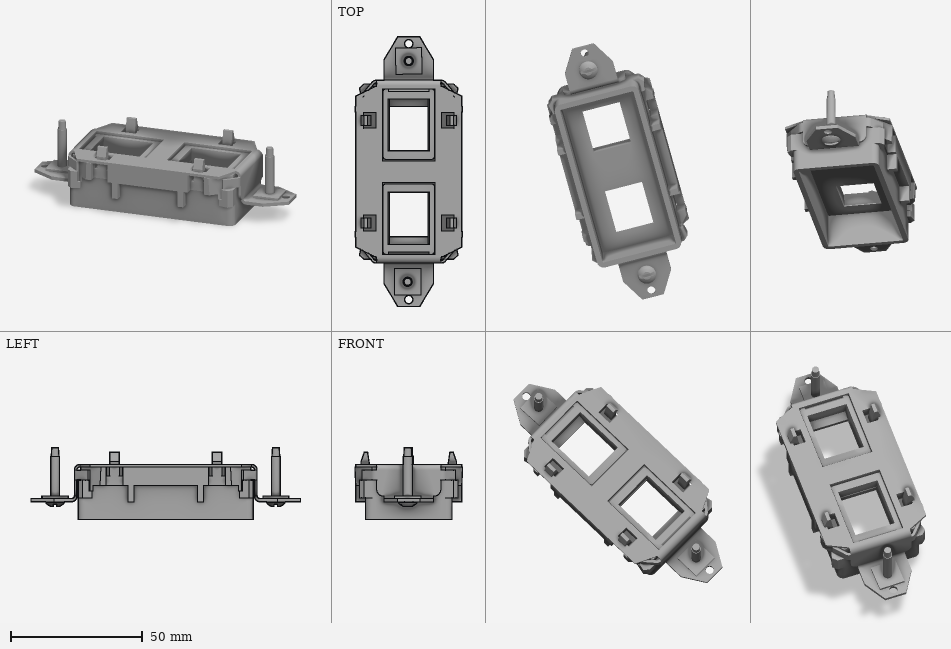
import cadquery as cq
import math


overall_length = 102.3
plate_top = 21.0
plate_thickness = 1.0
housing_top = plate_top - plate_thickness
half_length = overall_length / 2

plate_half_width = 20.2
plate_corner_y = 28.6
wall_outer_y = 34.7
wall_inner_y = wall_outer_y - plate_thickness
wall_half_width = 12.2
wall_bottom = 8.9
wall_corner_radius = 2.7
top_bend_radius = 2.1
bend_start_y = wall_outer_y - top_bend_radius
ear_bottom = 6.8
ear_thickness = 1.3
ear_top = ear_bottom + ear_thickness
ear_half_width = 9.4
ear_tip_half_width = 4.2
ear_taper_y = 42.5
ear_bend_radius = 0.9
ear_hole_y = 48.5
ear_hole_diameter = 3.1
wing_start_x = 13.3
wing_fold_radius = 2.1
wing_length = 6.9
wing_angle = 50.0
wing_bottom = 15.1
wing_top = 18.8
wing_tail_length = 1.2
wing_tail_bottom = 10.8

window_half_width = 10.0
window_inner_y = 4.1
window_outer_y = 31.3
side_groove_width = 0.3
inner_groove_width = 0.6
groove_depth = 1.0
boss_corner_radius = 0.9
boss_ramp_length = 0.9
boss_ramp_width = 15.3
opening_half_width = 7.9
throat_half_width = 7.3
throat_bottom = 13.2
opening_inner_y = 7.8
throat_inner_y = 8.0
inner_lip_z = 15.3
opening_outer_y = 27.6
throat_outer_y = 24.7
ramp_top = 14.7
ramp_bottom = 13.5

base_half_width = 16.5
base_half_length = 33.3
base_corner_radius = 2.6
shell_thickness = 2.0
cavity_corner_radius = 0.5
block_half_width = 20.2
block_half_length = 32.2
block_bottom = 13.0
pillar_inner_y = 27.5
post_bottom = 8.3
post_top = 15.0
post_front_x = 17.0
post_side_x = 18.7
post_side_y = 31.6
post_back_x = 17.9
post_back_y = 27.9
notch_outer_y = 29.1
nub_reach = 20.5
nub_inner_y = 22.4
leg_width = 2.3
leg_y = 13.2
leg_bottom = 6.8

latch_y = 19.4
slot_outer_x = 17.1
slot_inner_x = 12.4
slot_width = 5.9
latch_recess_width = 6.5
latch_pocket_floor = 16.6
latch_width = 3.7
latch_tip_z = 25.6
latch_tip_outer_x = 16.9
latch_tip_inner_x = 15.5
latch_foot_inner_x = 14.2
hook_outer_x = 18.1
hook_edge_z = 22.1

retainer_size = 9.9
retainer_thickness = 0.9
shank_diameter = 3.5
shank_top = 24.0
screw_tip_z = 27.3
point_base_diameter = 3.1
point_tip_diameter = 2.7
head_diameter = 7.1
head_flat_diameter = 3.1
head_height = 1.8
head_dome_radius = 4.6
head_rim_height = 0.3
driver_slot_width = 1.2
driver_slot_depth = 0.9
mountings = [(0.0, 41.9, 1.3), (-0.4, -41.7, 0.0)]


def box(x0, x1, y0, y1, z0, z1):
    """Box between two values on each axis, given in any order."""
    size = (abs(x1 - x0), abs(y1 - y0), abs(z1 - z0))
    center = ((x0 + x1) / 2, (y0 + y1) / 2, (z0 + z1) / 2)
    return cq.Workplane("XY").box(*size).translate(center)


def prism(points, z0, z1):
    """Upright prism on an XY outline."""
    return cq.Workplane("XY").workplane(offset=z0).polyline(points).close().extrude(z1 - z0)


def cylinder(x, y, diameter, z0, z1):
    """Upright cylinder on a point in plan."""
    return cq.Workplane("XY").workplane(offset=z0).center(x, y).circle(diameter / 2).extrude(z1 - z0)


def four_corners(points):
    """Outline mirrored into all four quadrants, from its first-quadrant points in order of rising Y."""
    right = [(x, -y) for x, y in reversed(points)] + points
    return right + [(-x, y) for x, y in reversed(right)]


def at_both_ends(shape):
    """The +Y shape and its mirror image at -Y."""
    return [shape, shape.mirror("XZ")]


def at_four_corners(shape):
    """The +X, +Y shape and its three mirror images."""
    return [copy for end in at_both_ends(shape) for copy in (end, end.mirror("YZ"))]


def add_all(body, parts):
    """The body with every part joined to it."""
    for part in parts:
        body = body.union(part)
    return body


def cut_all(body, parts):
    """The body with every part cut from it."""
    for part in parts:
        body = body.cut(part)
    return body


wing_dx = math.cos(math.radians(wing_angle))
wing_dy = -math.sin(math.radians(wing_angle))
wing_inner_start_x = wing_start_x - plate_thickness * math.tan(math.radians(wing_angle / 2))


def wing_points(distance):
    """Outer and inner points of the wing at a distance from its fold."""
    outer_x = wing_start_x + distance * wing_dx
    outer_y = wall_outer_y + distance * wing_dy
    return (outer_x, outer_y), (outer_x + plate_thickness * wing_dy, outer_y - plate_thickness * wing_dx)


def strap_wing():
    outer_end, inner_end = wing_points(wing_length)
    wing = prism(
        [
            (0, wall_inner_y),
            (0, wall_outer_y),
            (wing_start_x, wall_outer_y),
            outer_end,
            inner_end,
            (wing_inner_start_x, wall_inner_y),
        ],
        wing_bottom,
        wing_top,
    )
    outer_fold = cq.selectors.NearestToPointSelector((wing_start_x, wall_outer_y, wing_top))
    inner_fold = cq.selectors.NearestToPointSelector((wing_inner_start_x, wall_inner_y, wing_top))
    wing = wing.edges("|Z").edges(outer_fold).fillet(wing_fold_radius)
    wing = wing.edges("|Z").edges(inner_fold).fillet(wing_fold_radius - plate_thickness)
    tail_outer, tail_inner = wing_points(wing_length - wing_tail_length)
    tail = prism([tail_outer, outer_end, inner_end, tail_inner], wing_tail_bottom, wing_top)
    return wing.union(tail)


def strap_end():
    """Top bend, end wall, lower bend and ear at the +Y end."""
    inner_bend = top_bend_radius - plate_thickness
    outer_bend_length = ear_bend_radius + plate_thickness
    outer_bend_height = ear_bend_radius + ear_thickness
    ear_bend_y = wall_outer_y + ear_bend_radius
    ear_bend_z = ear_top + ear_bend_radius
    cos45 = math.sqrt(0.5)
    bend_z = plate_top - top_bend_radius
    profile = (
        cq.Workplane("YZ")
        .moveTo(bend_start_y, plate_top)
        .threePointArc(
            (bend_start_y + top_bend_radius * cos45, bend_z + top_bend_radius * cos45),
            (wall_outer_y, bend_z),
        )
        .lineTo(wall_outer_y, ear_bend_z)
        .threePointArc(
            (ear_bend_y - ear_bend_radius * cos45, ear_bend_z - ear_bend_radius * cos45),
            (ear_bend_y, ear_top),
        )
        .lineTo(half_length, ear_top)
        .lineTo(half_length, ear_bottom)
        .lineTo(ear_bend_y, ear_bottom)
        .threePointArc(
            (ear_bend_y - outer_bend_length * cos45, ear_bend_z - outer_bend_height * cos45),
            (wall_inner_y, ear_bend_z),
        )
        .lineTo(wall_inner_y, bend_z)
        .threePointArc(
            (bend_start_y + inner_bend * cos45, bend_z + inner_bend * cos45),
            (bend_start_y, housing_top),
        )
        .close()
        .extrude(wall_half_width, both=True)
    )
    wall_front = box(
        -wall_half_width, wall_half_width, bend_start_y, ear_taper_y, wall_bottom, plate_top
    ).edges("|Y and <Z").fillet(wall_corner_radius)
    ear_outline = prism(
        [
            (-ear_half_width, bend_start_y),
            (-ear_half_width, ear_taper_y),
            (-ear_tip_half_width, half_length),
            (ear_tip_half_width, half_length),
            (ear_half_width, ear_taper_y),
            (ear_half_width, bend_start_y),
        ],
        ear_bottom,
        plate_top,
    )
    hole = cylinder(0, ear_hole_y, ear_hole_diameter, ear_bottom, ear_top)
    return profile.intersect(wall_front.union(ear_outline)).cut(hole)


def make_strap():
    outline = four_corners([(plate_half_width, plate_corner_y), (wall_half_width, bend_start_y)])
    strap = prism(outline, housing_top, plate_top)
    strap = add_all(strap, at_both_ends(strap_end()))
    strap = add_all(strap, at_four_corners(strap_wing()))
    window = box(
        -window_half_width, window_half_width, window_inner_y, window_outer_y, housing_top, plate_top
    )
    latch_slot = box(
        slot_inner_x,
        slot_outer_x,
        latch_y - slot_width / 2,
        latch_y + slot_width / 2,
        housing_top,
        plate_top,
    )
    strap = cut_all(strap, at_both_ends(window) + at_four_corners(latch_slot))
    for x, y, _ in mountings:
        strap = strap.cut(cylinder(x, y, shank_diameter, ear_bottom, ear_top))
    return strap


def chamfer_y(x):
    """Y of the block's corner chamfer, which lies flat against the inside of the wing."""
    return wall_inner_y + (x - wing_inner_start_x) * wing_dy / wing_dx


def chamfer_x(y):
    """X of the same chamfer at a given Y."""
    return wing_inner_start_x + (y - wall_inner_y) * wing_dx / wing_dy


def block_outline(half_width):
    """Rectangle with all four corners chamfered parallel to the wings."""
    return four_corners(
        [
            (half_width, chamfer_y(half_width)),
            (chamfer_x(block_half_length), block_half_length),
        ]
    )


def corner_post():
    """Post under the wing, with a low step at its back for the wing's tail."""
    post = prism(
        [
            (0, base_half_length),
            (post_front_x, base_half_length),
            (post_side_x, post_side_y),
            (post_back_x, post_back_y),
            (0, post_back_y),
        ],
        post_bottom,
        post_top,
    )
    step = box(0, post_side_x, post_back_y, notch_outer_y, wing_tail_bottom, post_top)
    pillar = prism(block_outline(block_half_width), wing_tail_bottom, block_bottom).intersect(
        box(0, block_half_width, pillar_inner_y, block_half_length, wing_tail_bottom, block_bottom)
    )
    return post.cut(step).union(pillar)


def side_nub():
    """Pad beside the latch recess that leans out toward the top."""
    return (
        cq.Workplane("XZ", origin=(0, nub_inner_y, 0))
        .polyline(
            [
                (slot_outer_x, block_bottom),
                (block_half_width, block_bottom),
                (nub_reach, housing_top),
                (slot_outer_x, housing_top),
            ]
        )
        .close()
        .extrude(nub_inner_y - chamfer_y(block_half_width))
        .intersect(prism(block_outline(nub_reach), block_bottom, housing_top))
    )


def latch():
    """Arm standing in the pocket, hooked outward over the strap."""
    return (
        cq.Workplane("XZ", origin=(0, latch_y + latch_width / 2, 0))
        .polyline(
            [
                (slot_outer_x, latch_pocket_floor),
                (slot_outer_x, plate_top),
                (hook_outer_x, plate_top),
                (hook_outer_x, hook_edge_z),
                (latch_tip_outer_x, latch_tip_z),
                (latch_tip_inner_x, latch_tip_z),
                (latch_foot_inner_x, latch_pocket_floor),
            ]
        )
        .close()
        .extrude(latch_width)
    )


def latch_recess():
    """Outside recess down the side wall, open at the bottom, plus the pocket around the arm."""
    recess = box(
        slot_outer_x,
        nub_reach,
        latch_y - latch_recess_width / 2,
        latch_y + latch_recess_width / 2,
        block_bottom,
        housing_top,
    )
    pocket = box(
        slot_inner_x,
        slot_outer_x,
        latch_y - slot_width / 2,
        latch_y + slot_width / 2,
        latch_pocket_floor,
        housing_top,
    )
    return recess.union(pocket)


def boss_groove():
    """Groove on the sides and inner end of the window, around a boss with rounded inner corners."""
    boss_half_width = window_half_width - side_groove_width
    floor = housing_top - groove_depth
    around = box(-window_half_width, window_half_width, window_inner_y, window_outer_y, floor, housing_top)
    boss = box(
        -boss_half_width,
        boss_half_width,
        window_inner_y + inner_groove_width,
        window_outer_y,
        floor,
        housing_top,
    )
    return around.cut(boss.edges("|Z").fillet(boss_corner_radius))


def boss_ramp():
    """Ramp that falls toward the outer end of the window."""
    ramp_inner_y = window_outer_y - boss_ramp_length
    return (
        cq.Workplane("YZ")
        .polyline(
            [
                (ramp_inner_y, housing_top),
                (window_outer_y, housing_top),
                (window_outer_y, housing_top - boss_ramp_length),
            ]
        )
        .close()
        .extrude(boss_ramp_width / 2, both=True)
    )


def module_opening():
    """Opening down to the cavity, with drafted sides and a ramp at its outer end."""
    lengthwise = (
        cq.Workplane("YZ")
        .polyline(
            [
                (opening_inner_y, housing_top),
                (opening_outer_y, housing_top),
                (opening_outer_y, ramp_top),
                (throat_outer_y, ramp_bottom),
                (throat_outer_y, throat_bottom),
                (throat_inner_y, throat_bottom),
                (throat_inner_y, inner_lip_z),
                (opening_inner_y, inner_lip_z),
            ]
        )
        .close()
        .extrude(opening_half_width, both=True)
    )
    crosswise = (
        cq.Workplane("XZ")
        .polyline(
            [
                (-opening_half_width, housing_top),
                (opening_half_width, housing_top),
                (throat_half_width, throat_bottom),
                (-throat_half_width, throat_bottom),
            ]
        )
        .close()
        .extrude(-opening_outer_y)
    )
    return lengthwise.intersect(crosswise)


def bottom_cavity():
    """Cavity open at the underside, shared by both module openings."""
    cavity_half_width = base_half_width - shell_thickness
    cavity_half_length = base_half_length - shell_thickness
    return (
        cq.Workplane("XY")
        .rect(2 * cavity_half_width, 2 * cavity_half_length)
        .extrude(throat_bottom)
        .edges("|Z")
        .fillet(cavity_corner_radius)
    )


def make_housing(strap):
    housing = (
        cq.Workplane("XY")
        .rect(2 * base_half_width, 2 * base_half_length)
        .extrude(block_bottom)
        .edges("|Z")
        .fillet(base_corner_radius)
    )
    housing = housing.union(prism(block_outline(block_half_width), block_bottom, housing_top))
    leg = box(
        base_half_width,
        block_half_width,
        leg_y - leg_width / 2,
        leg_y + leg_width / 2,
        leg_bottom,
        block_bottom,
    )
    for part in (corner_post(), side_nub(), leg):
        housing = add_all(housing, at_four_corners(part))
    housing = cut_all(housing, at_four_corners(latch_recess()))
    housing = add_all(housing, at_four_corners(latch()))
    for opening in (boss_groove(), boss_ramp(), module_opening()):
        housing = cut_all(housing, at_both_ends(opening))
    housing = housing.cut(bottom_cavity())
    return housing.cut(strap)


def make_retainer(x, y, turn):
    plate = (
        cq.Workplane("XY")
        .rect(retainer_size, retainer_size)
        .circle(shank_diameter / 2)
        .extrude(retainer_thickness)
    )
    return plate.rotate((0, 0, 0), (0, 0, 1), turn).translate((x, y, ear_top))


def make_screw(x, y):
    head_bottom = ear_bottom - head_height
    head_radius = head_diameter / 2
    flat_radius = head_flat_diameter / 2
    screw = (
        cq.Workplane("XZ")
        .moveTo(0, head_bottom)
        .lineTo(flat_radius, head_bottom)
        .radiusArc((head_radius, ear_bottom - head_rim_height), -head_dome_radius)
        .lineTo(head_radius, ear_bottom)
        .lineTo(shank_diameter / 2, ear_bottom)
        .lineTo(shank_diameter / 2, shank_top)
        .lineTo(point_base_diameter / 2, shank_top)
        .lineTo(point_tip_diameter / 2, screw_tip_z)
        .lineTo(0, screw_tip_z)
        .close()
        .revolve(360, (0, 0, 0), (0, 1, 0))
    )
    driver_slot = box(
        -head_radius,
        head_radius,
        -driver_slot_width / 2,
        driver_slot_width / 2,
        head_bottom,
        head_bottom + driver_slot_depth,
    )
    return screw.cut(driver_slot).translate((x, y, 0))


strap = make_strap()
housing = make_housing(strap)
screws = []
retainers = []
for x, y, turn in mountings:
    screws.append(make_screw(x, y).val())
    retainers.append(make_retainer(x, y, turn).val())

result = cq.Compound.makeCompound([housing.val(), strap.val(), *screws, *retainers])